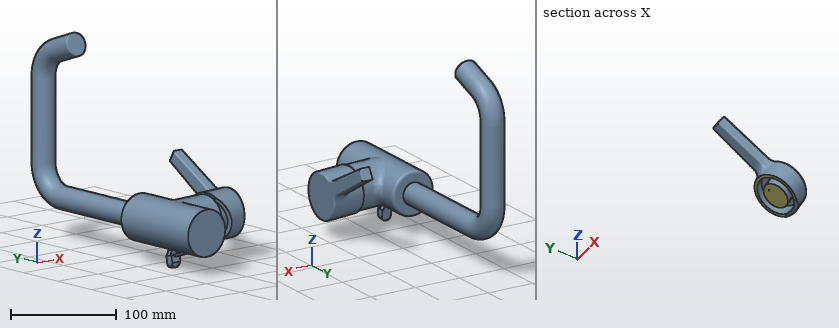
import cadquery as cq
import math

BODY_RADIUS = 23.0
BODY_LENGTH = 99.7
BODY_EDGE_ROUND = 3.0

SPOUT_RADIUS = 11.5
SPOUT_BACK = 250.5
BEND_RADIUS = 29.8
UPPER_BEND_START = 113.5
UPPER_BEND_ANGLE = 70.0
OUTLET_LENGTH = 30.5
OUTLET_EDGE_ROUND = 1.0

BRANCH_RADIUS = 22.8
BRANCH_LENGTH = 44.0
BRANCH_TILT = 5.0
BRANCH_Y = 50.4
BRANCH_FILLET = 8.8

CAP_RADIUS = 24.0
CAP_WALL = 3.8
CAP_TILT = 8.0
CAP_START = (45.5, 55.0, 0)
CAP_BLANK_LENGTH = 50.0
CAVITY_DEPTH = 22.5
CORE_RADIUS = 13.8
CORE_OVERLAP = 5.0
RELIEF_DEPTH = 11.0

LEVER_ROLL = 30.0
LEVER_FACE = (78.2, 57.0, 0)
LEVER_FACE_TILT = 1.1
LEVER_REACH = 87.2
LEVER_THICKNESS = 11.8
LEVER_TIP_WIDTH = 12.5
LEVER_ROOT_WIDTH = 16.5
LEVER_EDGE_ROUND = 1.8
LEVER_ROOT_FILLET = 10.0
LEVER_ROOT_BOX = ((60.1, 67.7, 0), (77.7, 87.7, 30))

ROD_RADIUS = 1.3
ROD_START = (0, 20.3, -20.5)
ROD_END = (0, 47.5, -29.5)
KNOB_WIDTH = 10.3
KNOB_NECK_WIDTH = 3.5
KNOB_LENGTH = 16.8
KNOB_SHOULDER = 5.0
KNOB_BACK_THICKNESS = 2.8
KNOB_FRONT_THICKNESS = 2.8
KNOB_FRONT_BULGE = 5.0
KNOB_TILT = 9.0
KNOB_TOP = (0, 51.0, -24.5)


def cylinder(start, direction, radius, length):
    solid = cq.Solid.makeCylinder(radius, length, cq.Vector(*start), cq.Vector(*direction))
    return cq.Workplane(obj=solid)


def tilted_axis(angle):
    """Unit vector along +X, leaning toward +Y by the given angle."""
    return (math.cos(math.radians(angle)), math.sin(math.radians(angle)), 0)


def point_along(start, direction, distance):
    return tuple(s + d * distance for s, d in zip(start, direction))


def make_body():
    body = cylinder((0, 0, 0), (0, 1, 0), BODY_RADIUS, BODY_LENGTH)
    return body.faces(">Y").edges().fillet(BODY_EDGE_ROUND)


def make_branch():
    return cylinder((0, BRANCH_Y, 0), tilted_axis(BRANCH_TILT), BRANCH_RADIUS, BRANCH_LENGTH)


def make_spout():
    leg_y = SPOUT_BACK - SPOUT_RADIUS
    center_y = leg_y - BEND_RADIUS
    turn = math.radians(UPPER_BEND_ANGLE)

    def upper_bend(angle):
        return (center_y + BEND_RADIUS * math.cos(angle), UPPER_BEND_START + BEND_RADIUS * math.sin(angle))

    bend_end = upper_bend(turn)
    outlet = (bend_end[0] - OUTLET_LENGTH * math.sin(turn), bend_end[1] + OUTLET_LENGTH * math.cos(turn))
    half = math.sqrt(0.5) * BEND_RADIUS
    path = (
        cq.Workplane("YZ")
        .moveTo(BODY_LENGTH / 2, 0)
        .lineTo(center_y, 0)
        .threePointArc((center_y + half, BEND_RADIUS - half), (leg_y, BEND_RADIUS))
        .lineTo(leg_y, UPPER_BEND_START)
        .threePointArc(upper_bend(turn / 2), bend_end)
        .lineTo(*outlet)
    )
    start = cq.Plane(origin=(0, BODY_LENGTH / 2, 0), xDir=(1, 0, 0), normal=(0, 1, 0))
    spout = cq.Workplane(start).circle(SPOUT_RADIUS).sweep(path)
    return spout.faces(">Z").edges().fillet(OUTLET_EDGE_ROUND)


def lever_plane():
    """Plane of the handle's outer face: local x runs along the lever, local z points outward."""
    roll = math.radians(LEVER_ROLL)
    tilt = math.radians(LEVER_FACE_TILT)
    along = (math.sin(tilt), math.cos(tilt) * math.cos(roll), math.cos(tilt) * math.sin(roll))
    outward = (math.cos(tilt), -math.sin(tilt) * math.cos(roll), -math.sin(tilt) * math.sin(roll))
    return cq.Plane(origin=LEVER_FACE, xDir=along, normal=outward)


def make_handle():
    axis = tilted_axis(CAP_TILT)
    face = lever_plane()
    cap = cylinder(CAP_START, axis, CAP_RADIUS, CAP_BLANK_LENGTH)
    beyond_face = cq.Workplane(face).rect(4 * CAP_RADIUS, 4 * CAP_RADIUS).extrude(CAP_BLANK_LENGTH)
    cap = cap.cut(beyond_face)

    lever = (
        cq.Workplane(face)
        .moveTo(0, -LEVER_ROOT_WIDTH / 2)
        .lineTo(LEVER_REACH, -LEVER_TIP_WIDTH / 2)
        .lineTo(LEVER_REACH, LEVER_TIP_WIDTH / 2)
        .lineTo(0, LEVER_ROOT_WIDTH / 2)
        .close()
        .extrude(-LEVER_THICKNESS)
        .faces("<X")
        .edges()
        .fillet(LEVER_EDGE_ROUND)
    )
    handle = cap.union(lever)
    handle = handle.edges(cq.selectors.BoxSelector(*LEVER_ROOT_BOX)).fillet(LEVER_ROOT_FILLET)
    outer_face = cq.selectors.DirectionMinMaxSelector(face.zDir)
    handle = handle.faces(outer_face).edges().fillet(LEVER_EDGE_ROUND)

    cavity = cylinder(CAP_START, axis, CAP_RADIUS - CAP_WALL, CAVITY_DEPTH)
    axis_vector = cq.Vector(*axis)
    toward_lever = face.xDir - axis_vector * face.xDir.dot(axis_vector)
    side = cq.Plane(origin=CAP_START, xDir=toward_lever, normal=toward_lever.cross(axis_vector))
    relief = (
        cq.Workplane(side)
        .polyline([(0, 0), (-2 * CAP_RADIUS, 0), (-2 * CAP_RADIUS, 2 * RELIEF_DEPTH)])
        .close()
        .extrude(CAP_RADIUS * 2, both=True)
    )
    core_start = point_along(CAP_START, axis, -CORE_OVERLAP)
    core = cylinder(core_start, axis, CORE_RADIUS, CAVITY_DEPTH + 2 * CORE_OVERLAP)
    return handle.cut(cavity).cut(relief).union(core)


def make_pull_rod():
    direction = cq.Vector(*ROD_END) - cq.Vector(*ROD_START)
    rod = cylinder(ROD_START, direction.toTuple(), ROD_RADIUS, direction.Length)
    half = KNOB_WIDTH / 2
    outline = (
        cq.Workplane("XZ")
        .moveTo(-KNOB_NECK_WIDTH / 2, 0)
        .lineTo(KNOB_NECK_WIDTH / 2, 0)
        .lineTo(half, -KNOB_SHOULDER)
        .lineTo(half, half - KNOB_LENGTH)
        .threePointArc((0, -KNOB_LENGTH), (-half, half - KNOB_LENGTH))
        .lineTo(-half, -KNOB_SHOULDER)
        .close()
        .extrude(KNOB_WIDTH, both=True)
    )
    profile = (
        cq.Workplane("YZ")
        .polyline([
            (KNOB_BACK_THICKNESS, 0),
            (-KNOB_FRONT_THICKNESS, 0),
            (-KNOB_FRONT_THICKNESS, -KNOB_SHOULDER),
            (-KNOB_FRONT_BULGE, -KNOB_SHOULDER),
            (-KNOB_FRONT_BULGE, half - KNOB_LENGTH),
            (-KNOB_FRONT_THICKNESS, -KNOB_LENGTH),
            (KNOB_BACK_THICKNESS, -KNOB_LENGTH),
        ])
        .close()
        .extrude(half, both=True)
    )
    knob = outline.intersect(profile).rotate((0, 0, 0), (1, 0, 0), -KNOB_TILT).translate(KNOB_TOP)
    return rod.union(knob)


def make_body_with_branch():
    joined = make_body().union(make_branch())
    joint = [edge for edge in joined.edges().vals() if edge.geomType() not in ("CIRCLE", "LINE")]
    return joined.newObject(joint).fillet(BRANCH_FILLET)


result = (
    make_body_with_branch()
    .union(make_spout())
    .union(make_handle())
    .union(make_pull_rod())
)